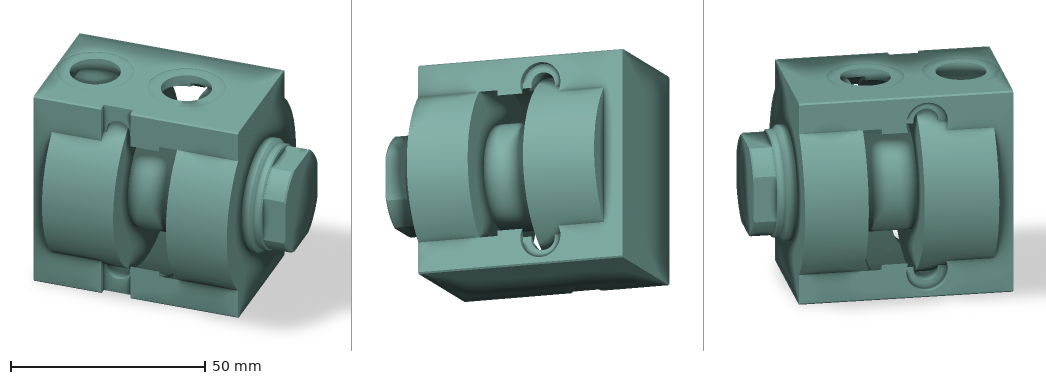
import cadquery as cq

total_length = 67.0
block_length = 56.0
block_depth = 35.0
block_height = 55.0
block_chamfer = 0.4

end_wall = 5.0
piston_diameter = 50.0
gland_diameter = 52.0
bore_step_x = 34.3

piston_length = 19.5
rod_diameter = 28.0
rod_end_x = 61.0
rod_end_chamfer = 0.4
tip_diameter = 26.95
tip_flats = 24.0
tip_chamfer = 0.4

gland_start_x = 39.3
lip_diameter = 30.0
lip_straight_length = 2.0
lip_taper_length = (lip_diameter - rod_diameter) / 2

slot_center_x = 22.5
slot_width = 8.0
slot_depth = 2.0
cross_hole_diameter = 6.4
cross_hole_offset = 20.25
counterbore_diameter = 11.0

port_first_x = 10.5
port_spacing = 25.0
port_diameter = 13.2
port_depth = 5.0
seal_recess_diameter = 20.0
seal_recess_depth = 0.1


def x_cylinder(diameter, start_x, end_x):
    """Solid cylinder on the X axis between two stations."""
    return (
        cq.Workplane("YZ", origin=(start_x, 0, 0))
        .circle(diameter / 2)
        .extrude(end_x - start_x)
    )


def top_hole(diameter, depth, center_x):
    """Cutter sunk vertically from the top face of the housing."""
    return (
        cq.Workplane("XY", origin=(center_x, 0, block_height / 2))
        .circle(diameter / 2)
        .extrude(-depth)
    )


def counterbored_cross_hole(center_z):
    """Cutter along Y right through the housing, counterbored from the rear face."""
    hole = (
        cq.Workplane("XZ", origin=(slot_center_x, 0, center_z))
        .circle(cross_hole_diameter / 2)
        .extrude(block_depth / 2, both=True)
    )
    counterbore = (
        cq.Workplane("XZ", origin=(slot_center_x, block_depth / 2, center_z))
        .circle(counterbore_diameter / 2)
        .extrude(slot_depth)
    )
    return hole.union(counterbore)


def make_housing():
    """Chamfered block whose bore is wider than the block and breaks out of both sides."""
    block = (
        cq.Workplane("XY")
        .box(block_length, block_depth, block_height, centered=(False, True, True))
        .edges("|X")
        .chamfer(block_chamfer)
    )

    slot = cq.Workplane("XY", origin=(slot_center_x, (slot_depth - block_depth) / 2, 0)).box(
        slot_width, slot_depth, block_height
    )
    block = block.cut(slot)

    block = block.cut(x_cylinder(piston_diameter, end_wall, block_length))
    block = block.cut(x_cylinder(gland_diameter, bore_step_x, block_length))

    for center_z in (-cross_hole_offset, cross_hole_offset):
        block = block.cut(counterbored_cross_hole(center_z))

    for center_x in (port_first_x, port_first_x + port_spacing):
        block = block.cut(top_hole(port_diameter, port_depth, center_x))
        block = block.cut(top_hole(seal_recess_diameter, seal_recess_depth, center_x))
    return block


def make_piston_rod():
    """Piston and rod in one piece, ending in a round tip with four flats."""
    piston_end_x = end_wall + piston_length
    piston = x_cylinder(piston_diameter, end_wall, piston_end_x)
    rod = x_cylinder(rod_diameter, piston_end_x, rod_end_x).faces(">X").chamfer(rod_end_chamfer)

    tip_length = total_length - rod_end_x
    round_tip = x_cylinder(tip_diameter, rod_end_x, total_length).faces(">X").chamfer(tip_chamfer)
    square = cq.Workplane("XY", origin=(rod_end_x, 0, 0)).box(
        tip_length, tip_flats, tip_flats, centered=(False, True, True)
    )
    return piston.union(rod).union(round_tip.intersect(square))


def make_gland():
    """Guide ring around the rod, with a lip that tapers down to the rod surface."""
    lip_straight_end_x = block_length + lip_straight_length
    lip_end_x = lip_straight_end_x + lip_taper_length
    profile = [
        (gland_start_x, rod_diameter / 2),
        (gland_start_x, gland_diameter / 2),
        (block_length, gland_diameter / 2),
        (block_length, lip_diameter / 2),
        (lip_straight_end_x, lip_diameter / 2),
        (lip_end_x, rod_diameter / 2),
    ]
    return cq.Workplane("XY").polyline(profile).close().revolve(axisStart=(0, 0, 0), axisEnd=(1, 0, 0))


housing = make_housing()
piston_rod = make_piston_rod()
gland = make_gland()

result = cq.Compound.makeCompound([*housing.solids().vals(), *piston_rod.solids().vals(), *gland.solids().vals()])